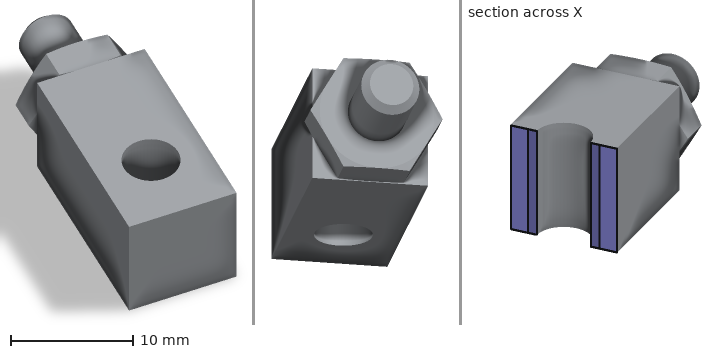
import cadquery as cq
import math

total_length = 27.95
block_start = 9.6
nut_thickness = 3.02
nut_start = block_start - nut_thickness

block_side = 9.65
block_length = total_length - block_start
shank_diameter = 4.83
shank_tip_chamfer = 0.61

bushing_x = 21.6
bushing_outer_diameter = 6.43
bushing_bore_diameter = 4.83

nut_across_flats = 9.53
nut_across_corners = nut_across_flats / math.cos(math.pi / 6)
nut_chamfer_depth = 0.2


def vertical_cylinder(diameter):
    """Cylinder on the cross hole axis, as tall as the block."""
    return (
        cq.Workplane("XY", origin=(bushing_x, 0, -block_side / 2))
        .circle(diameter / 2)
        .extrude(block_side)
    )


def make_block():
    """Square block and chamfered shank in one piece, bored for the bushing."""
    shank = (
        cq.Workplane("YZ")
        .circle(shank_diameter / 2)
        .extrude(block_start)
        .faces("<X")
        .chamfer(shank_tip_chamfer)
    )
    block = (
        cq.Workplane("YZ", origin=(block_start, 0, 0))
        .rect(block_side, block_side)
        .extrude(block_length)
    )
    return block.union(shank).cut(vertical_cylinder(bushing_outer_diameter))


def make_bushing():
    """Plain sleeve, flush with the block at both ends."""
    return vertical_cylinder(bushing_outer_diameter).cut(vertical_cylinder(bushing_bore_diameter))


def make_nut():
    """Hexagon with corners along Y, both ends turned to a cone."""
    hexagon = (
        cq.Workplane("YZ", origin=(nut_start, 0, 0))
        .polygon(6, nut_across_corners)
        .circle(shank_diameter / 2)
        .extrude(nut_thickness)
    )
    face_radius = nut_across_flats / 2
    corner_radius = nut_across_corners / 2
    turned_envelope = (
        cq.Workplane("XY")
        .moveTo(nut_start, 0)
        .lineTo(nut_start, face_radius)
        .lineTo(nut_start + nut_chamfer_depth, corner_radius)
        .lineTo(block_start - nut_chamfer_depth, corner_radius)
        .lineTo(block_start, face_radius)
        .lineTo(block_start, 0)
        .close()
        .revolve(360, (0, 0, 0), (1, 0, 0))
    )
    return hexagon.intersect(turned_envelope)


block = make_block().solids()
bushing = make_bushing().solids()
nut = make_nut().solids()

result = cq.Compound.makeCompound([block.val(), bushing.val(), nut.val()])